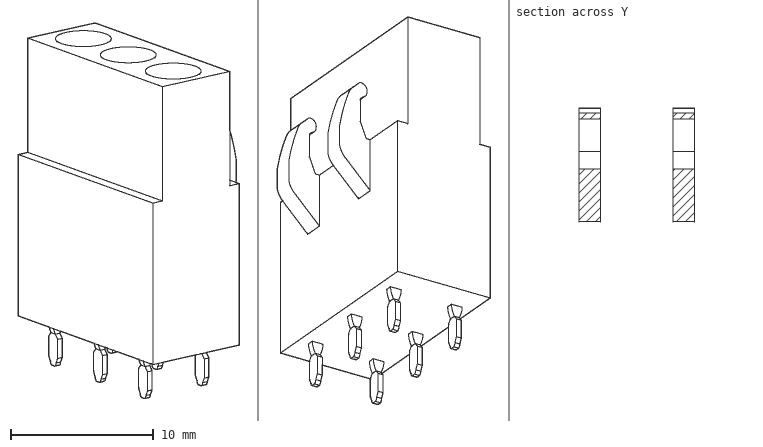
import cadquery as cq

pole_count = 3
pitch = 5.08
row_spacing = 5.08

body_width = pole_count * pitch
base_depth = 7.73
base_height = 11.83
tower_depth = 6.03
total_height = 20.2

entry_top_dia = 3.92
entry_bottom_dia = 1.96
entry_depth = 2.0
entry_y = -0.04

pin_length = 3.25
pin_thickness = 0.42
pin_root_depth = 0.9
pin_neck_width = 0.5
pin_blade_width = 1.04
pin_neck_length = 0.88
pin_shoulder_end = 1.2
pin_blade_end = 2.6
pin_taper_end = 2.98
pin_taper_width = 0.66
pin_tip_width = 0.34
pin_root_bulge = 0.05
pin_tip_bulge = 0.03

latch_width = 1.52
latch_spacing = 6.6
latch_reach = 2.55

ramp_foot_rise = -4.0
ramp_end_gap = 2.13
ramp_end_rise = -1.92
spine_start_rise = -1.1
spine_end_rise = 0.45
shoulder_gap = 1.25
shoulder_rise = 3.9
crown_gap = 0.87
crown_rise = 4.26
nose_gap = 0.28
nose_rise = 3.63
chin_gap = 0.62
chin_rise = 3.18
throat_gap = 0.83
throat_top_rise = 2.8
throat_bottom_rise = 1.22
foot_gap = 0.38
foot_rise = 0.1
foot_end_gap = 0.22

back_face = base_depth / 2


def make_housing():
    base = cq.Workplane("XY").box(body_width, base_depth, base_height, centered=(True, True, False))
    tower = cq.Workplane("XY").box(body_width, tower_depth, total_height, centered=(True, True, False))
    return base.union(tower)


def make_wire_entry(x):
    """Tapered hole, wide at the top face and flat at its bottom."""
    return (
        cq.Workplane("XY", origin=(x, entry_y, total_height))
        .circle(entry_top_dia / 2)
        .workplane(offset=-entry_depth)
        .circle(entry_bottom_dia / 2)
        .loft(ruled=True)
    )


def make_pin(x, y):
    """Flat pin: a root tapering in Y, then a blade with shoulders and a rounded, tapered tip."""
    root_half = pin_root_depth / 2
    thin_half = pin_thickness / 2
    root_mid_y = (root_half + thin_half) / 2 + pin_root_bulge
    root_mid_z = -pin_neck_length / 2
    root = (
        cq.Workplane("YZ")
        .moveTo(root_half, 0)
        .threePointArc((root_mid_y, root_mid_z), (thin_half, -pin_neck_length))
        .lineTo(-thin_half, -pin_neck_length)
        .threePointArc((-root_mid_y, root_mid_z), (-root_half, 0))
        .close()
        .extrude(pin_neck_width / 2, both=True)
    )

    neck_half = pin_neck_width / 2
    blade_half = pin_blade_width / 2
    taper_half = pin_taper_width / 2
    tip_half = pin_tip_width / 2
    tip_mid_x = (taper_half + tip_half) / 2 + pin_tip_bulge
    tip_mid_z = -(pin_taper_end + pin_length) / 2 - pin_tip_bulge
    blade = (
        cq.Workplane("XZ")
        .moveTo(neck_half, -pin_neck_length)
        .lineTo(blade_half, -pin_shoulder_end)
        .lineTo(blade_half, -pin_blade_end)
        .lineTo(taper_half, -pin_taper_end)
        .threePointArc((tip_mid_x, tip_mid_z), (tip_half, -pin_length))
        .lineTo(-tip_half, -pin_length)
        .threePointArc((-tip_mid_x, tip_mid_z), (-taper_half, -pin_taper_end))
        .lineTo(-blade_half, -pin_blade_end)
        .lineTo(-blade_half, -pin_shoulder_end)
        .lineTo(-neck_half, -pin_neck_length)
        .close()
        .extrude(pin_thickness / 2, both=True)
    )
    return root.union(blade).translate((x, y, 0))


def make_latch(x):
    """Hook profile in (gap, rise), starting at the foot of the lower ramp and going round its outside."""
    ramp_corner = (2.4, -1.55)
    back_middle = (2.24, 1.85)
    back_end = (1.8, 3.2)
    hook_crest = (0.45, 4.15)
    hook_underside = (0.3, 3.48)
    hook_underside_end = (0.4, 3.32)
    throat_corner = (0.77, 3.03)
    foot_corner = (0.32, 0.02)
    return (
        cq.Workplane("YZ", origin=(x, back_face, base_height))
        .moveTo(0, ramp_foot_rise)
        .lineTo(ramp_end_gap, ramp_end_rise)
        .threePointArc(ramp_corner, (latch_reach, spine_start_rise))
        .lineTo(latch_reach, spine_end_rise)
        .threePointArc(back_middle, back_end)
        .tangentArcPoint((shoulder_gap, shoulder_rise), relative=False)
        .lineTo(crown_gap, crown_rise)
        .threePointArc(hook_crest, (nose_gap, nose_rise))
        .threePointArc(hook_underside, hook_underside_end)
        .lineTo(chin_gap, chin_rise)
        .threePointArc(throat_corner, (throat_gap, throat_top_rise))
        .lineTo(throat_gap, throat_bottom_rise)
        .lineTo(foot_gap, foot_rise)
        .threePointArc(foot_corner, (foot_end_gap, 0))
        .lineTo(0, 0)
        .close()
        .extrude(latch_width / 2, both=True)
    )


result = make_housing()

pole_positions = [(i - (pole_count - 1) / 2) * pitch for i in range(pole_count)]
for pole_x in pole_positions:
    result = result.cut(make_wire_entry(pole_x))
    for row_y in (-row_spacing / 2, row_spacing / 2):
        result = result.union(make_pin(pole_x, row_y))

for latch_x in (-latch_spacing / 2, latch_spacing / 2):
    result = result.union(make_latch(latch_x))